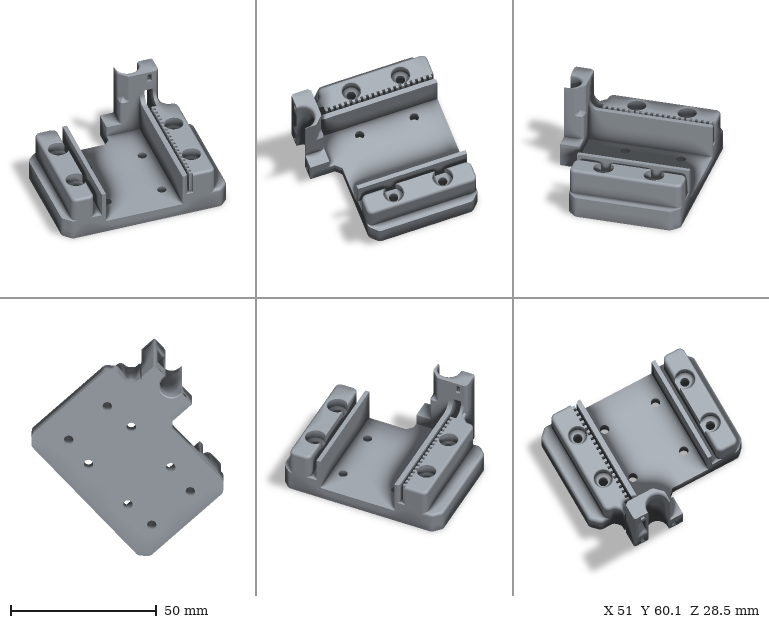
import cadquery as cq
import math

SELECT_MARGIN = 0.1

BASE_X = 40.0
BASE_Y = 60.12
FLOOR_Z = 4.5
FLANGE_Z = 7.5
CORNER_CHAMFER = 3.0
CORNER_RADIUS = 2.0
EDGE_RADIUS = 1.0

BLOCK_TOP = 16.5
FRONT_BLOCK_Y = (3.0, 11.0)
REAR_BLOCK_BACK = 55.12
REAR_CORNER_RADIUS = 2.0
FRONT_WALL_Y = (13.55, 15.05)
REAR_WALL_FRONT = 43.05
REAR_WALL_LEAD_IN = 0.75

SLOT_FRONT = 44.87
SLOT_WIDTH = 3.0
SLOT_BACK = SLOT_FRONT + SLOT_WIDTH
SLOT_FLOOR = 8.5
RACK_FRONT = 45.8
TOOTH_DEPTH = 1.1
RACK_BACK = RACK_FRONT + TOOTH_DEPTH
TOOTH_PITCH = 2.0
TOOTH_GAP = TOOTH_PITCH / 2

TOWER_X = (-11.0, -4.0)
TOWER_Y = (36.0, 50.08)
TOWER_TOP = 28.5
TOWER_LEFT_BEVEL = 0.5
STEP_FRONT = 31.0
STEP_Z = 8.5
PLATE_CHAMFER = 2.0
ROD_RADIUS = 4.0
ROD_X = -10.2
ROD_Y = 40.56
FOOT_BEVEL = 0.4
WINDOW_TOP = 21.0

NOTCH_Z = 17.5
NOTCH_LEG = 3.0
LEDGE_SLOPE = 45
LEDGE_CLEARANCE = 0.01

GUSSET = 2.0
BLEND_RADIUS = 3.0
SWEEP_RADIUS = 2.0

TIE_WIDTH = 1.5
TIE_HEIGHT = 3.0
TIE_RING_RADIUS = 6.15
TIE_MARGIN = 1.0

HOLE_DIAMETER = 3.2
FLOOR_HOLES = [(x, y) for x in (10.0, 30.0) for y in (19.0, 39.0)]
SCREW_X = (11.0, 29.0)
FRONT_SCREW_Y = 8.0
REAR_SCREW_Y = 50.12
HEAD_DEPTH = 3.5
HEAD_BEVEL = 0.2
FRONT_HEAD_RADIUS = 3.5
REAR_HEAD_RADIUS = 3.25


def box(x, y, z):
    """Box spanning the given (low, high) pairs."""
    size = (x[1] - x[0], y[1] - y[0], z[1] - z[0])
    return cq.Workplane("XY").box(*size, centered=False).translate((x[0], y[0], z[0]))


def make_base():
    """Floor plate with a raised flange at its front and a rounded one at its rear."""
    blank = box((0, BASE_X), (0, BASE_Y), (0, FLANGE_Z))
    blank = blank.edges("|Z").chamfer(CORNER_CHAMFER)
    blank = blank.edges("|Z").fillet(CORNER_RADIUS)
    front = blank.intersect(box((0, BASE_X), (0, SLOT_BACK), (0, FLANGE_Z)))
    rear = blank.intersect(box((0, BASE_X), (SLOT_BACK, BASE_Y), (0, FLANGE_Z)))
    rear = rear.faces(">Z").edges("not <Y").fillet(EDGE_RADIUS)
    well = box((0, BASE_X), (FRONT_WALL_Y[1], REAR_WALL_FRONT), (FLOOR_Z, FLANGE_Z))
    return front.union(rear).cut(well)


def head_recess(x, y, radius):
    """Cutter for a screw head recess with a small bevel at its mouth."""
    floor = BLOCK_TOP - HEAD_DEPTH
    recess = cq.Workplane("XY", origin=(x, y, floor)).circle(radius).extrude(HEAD_DEPTH)
    cone_base = cq.Vector(x, y, BLOCK_TOP - HEAD_BEVEL)
    mouth = cq.Solid.makeCone(radius, radius + HEAD_BEVEL, HEAD_BEVEL, pnt=cone_base)
    return recess.union(cq.Workplane(mouth))


def make_front_block():
    """Rounded clamp block on the front flange; its screw recesses break through its back."""
    block = box((0, BASE_X), FRONT_BLOCK_Y, (FLANGE_Z, BLOCK_TOP))
    block = block.edges("|Z").fillet(CORNER_RADIUS)
    for x in SCREW_X:
        block = block.cut(head_recess(x, FRONT_SCREW_Y, FRONT_HEAD_RADIUS))
    back_rim = block.edges("|X and >Y and >Z").edges("<X or >X")
    return back_rim.add(block.faces(">Z").edges("<Y or <X or >X")).fillet(EDGE_RADIUS)


def make_rear_block():
    """Rear clamp block that sweeps into the tower, with the belt rack and wall in front."""
    block = (
        cq.Workplane("XY")
        .moveTo(TOWER_X[1], RACK_BACK)
        .lineTo(BASE_X, RACK_BACK)
        .lineTo(BASE_X, REAR_BLOCK_BACK)
        .lineTo(0, REAR_BLOCK_BACK)
        .lineTo(0, TOWER_Y[1] + GUSSET)
        .lineTo(-GUSSET, TOWER_Y[1])
        .lineTo(TOWER_X[1], TOWER_Y[1])
        .close()
        .extrude(BLOCK_TOP)
    )
    block = block.edges("|Z and >Y").fillet(REAR_CORNER_RADIUS)
    slope_ends = cq.selectors.BoxSelector(
        (-GUSSET - SELECT_MARGIN, TOWER_Y[1] - SELECT_MARGIN, 0),
        (SELECT_MARGIN, TOWER_Y[1] + GUSSET + SELECT_MARGIN, BLOCK_TOP),
    )
    block = block.faces(">Z").edges("not (<X or <Y)").fillet(EDGE_RADIUS)
    block = block.edges("|Z").edges(slope_ends).fillet(SWEEP_RADIUS)
    front = box((TOWER_X[1], BASE_X), (REAR_WALL_FRONT, RACK_BACK), (FLOOR_Z, BLOCK_TOP))
    block = block.union(front).union(make_gusset())
    for x in SCREW_X:
        block = block.cut(head_recess(x, REAR_SCREW_Y, REAR_HEAD_RADIUS))
    return block.cut(make_belt_slot())


def make_gusset():
    """Sloped foot that eases the tower's right side into the top of the rear block."""
    left = TOWER_X[1]
    foot = left - GUSSET
    right = left + 2 * GUSSET
    low = BLOCK_TOP - GUSSET
    high = BLOCK_TOP + 2 * GUSSET
    gusset = (
        cq.Workplane("XZ", origin=(0, REAR_WALL_FRONT, 0))
        .moveTo(foot, low)
        .lineTo(foot, high)
        .lineTo(left, high)
        .lineTo(left, BLOCK_TOP + GUSSET)
        .lineTo(left + GUSSET, BLOCK_TOP)
        .lineTo(right, BLOCK_TOP)
        .lineTo(right, low)
        .close()
        .extrude(REAR_WALL_FRONT - TOWER_Y[1] + EDGE_RADIUS)
    )
    slope_ends = cq.selectors.BoxSelector(
        (left - SELECT_MARGIN, REAR_WALL_FRONT, BLOCK_TOP - SELECT_MARGIN),
        (left + GUSSET + SELECT_MARGIN, TOWER_Y[1], BLOCK_TOP + GUSSET + SELECT_MARGIN),
    )
    gusset = gusset.edges("|Y").edges(slope_ends).fillet(BLEND_RADIUS)
    return gusset.intersect(box((left, right), (REAR_WALL_FRONT, TOWER_Y[1]), (low, high)))


def make_belt_slot():
    """Cutter for the belt slot, wide at the tower and toothed along the block."""
    z = (SLOT_FLOOR, TOWER_TOP)
    slot = box((TOWER_X[1], 0), (SLOT_FRONT, SLOT_BACK), z)
    slot = slot.union(box((0, BASE_X), (SLOT_FRONT, RACK_FRONT), z))
    for tooth in range(round(BASE_X / TOOTH_PITCH)):
        x = TOOTH_GAP + tooth * TOOTH_PITCH
        slot = slot.union(box((x, x + TOOTH_GAP), (RACK_FRONT, RACK_BACK), z))
    lead_in = (
        cq.Workplane("XY", origin=(0, 0, SLOT_FLOOR))
        .moveTo(BASE_X, SLOT_FRONT)
        .lineTo(BASE_X - REAR_WALL_LEAD_IN, SLOT_FRONT)
        .lineTo(BASE_X, SLOT_FRONT - REAR_WALL_LEAD_IN)
        .close()
        .extrude(BLOCK_TOP - SLOT_FLOOR)
    )
    return slot.union(lead_in)


def make_tower():
    """Upright rod holder with its belt window, low step and joining plate."""
    tower = box(TOWER_X, TOWER_Y, (0, TOWER_TOP))
    tower = tower.edges("|Z and <X and >Y").chamfer(TOWER_LEFT_BEVEL)
    tower = tower.edges("|Z and >X and >Y").chamfer(EDGE_RADIUS)
    tower = tower.edges("|Z and >X and <Y").fillet(EDGE_RADIUS)
    tower = cut_window(tower.cut(make_notch()))
    step = box(TOWER_X, (STEP_FRONT, TOWER_Y[0] + EDGE_RADIUS), (0, STEP_Z))
    plate = (
        cq.Workplane("XY")
        .moveTo(TOWER_X[1], TOWER_Y[1])
        .lineTo(TOWER_X[1], STEP_FRONT)
        .lineTo(-PLATE_CHAMFER, STEP_FRONT)
        .lineTo(0, STEP_FRONT - PLATE_CHAMFER)
        .lineTo(0, TOWER_Y[1])
        .close()
        .extrude(FLOOR_Z)
    )
    return tower.union(step).union(plate)


def make_notch():
    """Cutter that bevels the tower's front right corner, with rounded ends and a hipped ledge."""
    right = TOWER_X[1]
    front = TOWER_Y[0]
    outer_right = right + EDGE_RADIUS
    outer_front = front - EDGE_RADIUS
    reach = NOTCH_LEG + EDGE_RADIUS
    floor = NOTCH_Z - EDGE_RADIUS
    prism = (
        cq.Workplane("XY", origin=(0, 0, floor))
        .moveTo(right - reach, front)
        .lineTo(right - NOTCH_LEG, front)
        .lineTo(right, front + NOTCH_LEG)
        .lineTo(right, front + reach)
        .lineTo(outer_right, front + reach)
        .lineTo(outer_right, outer_front)
        .lineTo(right - reach, outer_front)
        .close()
        .extrude(TOWER_TOP - floor)
    )
    for corner in ((right - NOTCH_LEG, front, NOTCH_Z), (right, front + NOTCH_LEG, NOTCH_Z)):
        nearest = cq.selectors.NearestToPointSelector(corner)
        prism = prism.edges("|Z").edges(nearest).fillet(EDGE_RADIUS)
    hip_half = reach + EDGE_RADIUS
    hip = (
        cq.Workplane("XY", origin=(right - reach, front + reach, floor))
        .rect(2 * hip_half, 2 * hip_half)
        .extrude(hip_half - LEDGE_CLEARANCE, taper=LEDGE_SLOPE)
    )
    notch = prism.cut(hip)
    mid_bevel = (right - NOTCH_LEG / 2, front + NOTCH_LEG / 2, TOWER_TOP - NOTCH_LEG)
    bevel = notch.faces(cq.selectors.NearestToPointSelector(mid_bevel))
    ledge = cq.selectors.BoxSelector(
        (right - reach, outer_front, floor),
        (outer_right, front + reach, NOTCH_Z + NOTCH_LEG),
    )
    return bevel.edges(ledge).fillet(EDGE_RADIUS)


def cut_window(tower):
    """Cut the belt window and round its top, bottom and rear edges on the left face."""
    tower = tower.cut(box(TOWER_X, (SLOT_FRONT, SLOT_BACK), (SLOT_FLOOR, WINDOW_TOP)))
    left = TOWER_X[0]
    rim = cq.selectors.BoxSelector(
        (left - SELECT_MARGIN, SLOT_FRONT + SELECT_MARGIN, SLOT_FLOOR - SELECT_MARGIN),
        (left + SELECT_MARGIN, SLOT_BACK + SELECT_MARGIN, WINDOW_TOP + SELECT_MARGIN),
    )
    return tower.edges(rim).fillet(EDGE_RADIUS)


def make_rod_channel():
    """Cutter for the open-sided rod channel, rounded at its upper mouth and bevelled at its foot."""
    shoulder = TOWER_TOP - EDGE_RADIUS
    mid_arc = (
        ROD_RADIUS + EDGE_RADIUS * (1 - math.sqrt(0.5)),
        shoulder + EDGE_RADIUS * math.sqrt(0.5),
    )
    half_section = (
        cq.Workplane("XZ")
        .lineTo(ROD_RADIUS + FOOT_BEVEL, 0)
        .lineTo(ROD_RADIUS, FOOT_BEVEL)
        .lineTo(ROD_RADIUS, shoulder)
        .threePointArc(mid_arc, (ROD_RADIUS + EDGE_RADIUS, TOWER_TOP))
        .lineTo(0, TOWER_TOP)
        .close()
    )
    wing = half_section.toPending().extrude(ROD_RADIUS)
    mouth = wing.rotate((0, 0, 0), (0, 0, 1), -90)
    mouth = mouth.union(mouth.mirror("XZ"))
    round_part = half_section.toPending().revolve(360, (0, 0), (0, 1))
    return round_part.union(mouth).translate((ROD_X, ROD_Y, 0))


def make_tie_openings():
    """Cutter for a straight upper cable tie slot and a lower ring around the rod."""
    inner = TIE_RING_RADIUS - TIE_WIDTH / 2
    outer = TIE_RING_RADIUS + TIE_WIDTH / 2
    upper_z = TOWER_TOP - TIE_MARGIN - TIE_HEIGHT
    upper = box(TOWER_X, (ROD_Y + inner, ROD_Y + outer), (upper_z, upper_z + TIE_HEIGHT))
    ring = cq.Workplane("XY", origin=(ROD_X, ROD_Y, TIE_MARGIN)).circle(outer).circle(inner)
    return upper.union(ring.extrude(TIE_HEIGHT))


def make_screw_holes():
    """Cutter for all through holes."""
    centres = FLOOR_HOLES + [(x, y) for x in SCREW_X for y in (FRONT_SCREW_Y, REAR_SCREW_Y)]
    return cq.Workplane("XY").pushPoints(centres).circle(HOLE_DIAMETER / 2).extrude(BLOCK_TOP)


front_wall = box((0, BASE_X), FRONT_WALL_Y, (FLANGE_Z, BLOCK_TOP))
body = make_base().union(make_front_block()).union(front_wall).union(make_rear_block())
body = body.union(make_tower())
for cutter in (make_rod_channel(), make_tie_openings(), make_screw_holes()):
    body = body.cut(cutter)
result = body